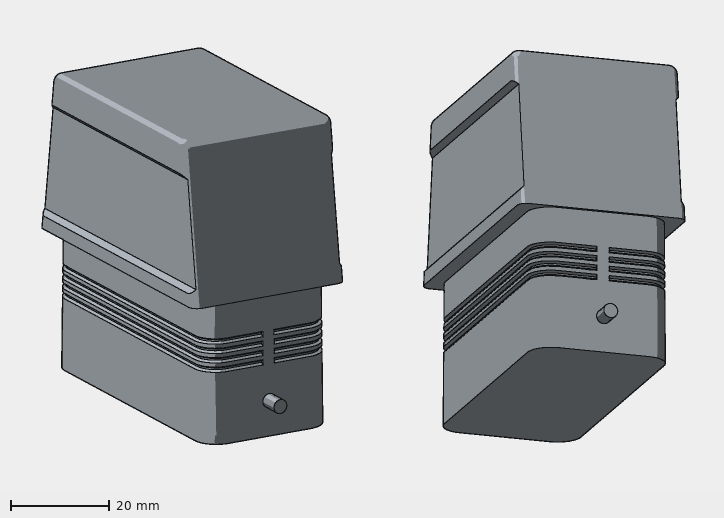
import cadquery as cq

total_length = 71.5
total_height = 64.5
hood_depth = 36.0

hood_bottom_z = 30.0
hood_bottom_length = 62.9
hood_top_length = 52.8
hood_edge_radius = 2.0

recess_depth = 1.1
recess_bottom_z = 33.95
recess_top_z = 56.55

body_depth = 29.3
body_base_length = 62.7
body_top_length = 61.5
body_corner_radius = 5.0
base_band_height = 1.85

groove_count = 4
groove_pitch = 2.0
lowest_groove_z = 15.95
groove_opening = 1.15
groove_root = 0.35
groove_depth = 0.65
groove_gap = 2.65
cutter_margin = 1.4

pin_diameter = 3.0
pin_z = 7.6


def rounded_outline(z, length, depth):
    """Body outline, a rounded rectangle in the horizontal plane at height z."""
    sketch = cq.Sketch().rect(length, depth).vertices().fillet(body_corner_radius)
    return sketch.moved(cq.Location(cq.Vector(0, 0, z)))


def body_length_at(z):
    """Length of the tapered body walls at height z."""
    fraction = (z - base_band_height) / (hood_bottom_z - base_band_height)
    return body_base_length + fraction * (body_top_length - body_base_length)


def make_hood():
    half_bottom = hood_bottom_length / 2
    half_top = hood_top_length / 2
    end_profile = [
        (-half_bottom, hood_bottom_z),
        (half_bottom, hood_bottom_z),
        (half_top, total_height),
        (-half_top, total_height),
    ]
    hood = cq.Workplane("XZ").polyline(end_profile).close().extrude(hood_depth / 2, both=True)
    return hood.edges("not <Z").fillet(hood_edge_radius)


def make_recess(side):
    """Cutter for the recess on one face; side is -1 for front, 1 for back."""
    floor_y = side * (hood_depth / 2 - recess_depth)
    outside_reach = recess_depth + cutter_margin
    outside_y = floor_y + side * outside_reach
    section = [
        (floor_y, recess_bottom_z),
        (floor_y, recess_top_z),
        (outside_y, recess_top_z + outside_reach),
        (outside_y, recess_bottom_z - outside_reach),
    ]
    return cq.Workplane("YZ").polyline(section).close().extrude(hood_bottom_length / 2, both=True)


def make_body():
    bottom = rounded_outline(0, body_base_length, body_depth)
    taper_start = rounded_outline(base_band_height, body_base_length, body_depth)
    taper_end = rounded_outline(hood_bottom_z, body_top_length, body_depth)
    return cq.Workplane("XY").placeSketch(bottom, taper_start, taper_end).loft(ruled=True)


def make_groove(center_z):
    """Cutter for one flat-bottomed V groove, interrupted at the middle of each end face."""
    wall_y = -body_depth / 2
    root_y = wall_y + groove_depth
    outside_y = wall_y - cutter_margin
    profile = [
        (outside_y, -groove_opening / 2),
        (wall_y, -groove_opening / 2),
        (root_y, -groove_root / 2),
        (root_y, groove_root / 2),
        (wall_y, groove_opening / 2),
        (outside_y, groove_opening / 2),
    ]
    path = rounded_outline(center_z, body_length_at(center_z), body_depth).wires().val()
    ring = cq.Workplane("YZ", origin=(0, 0, center_z)).polyline(profile).close().sweep(path)
    end_rib = cq.Workplane("XY").box(total_length, groove_gap, groove_pitch).translate((0, 0, center_z))
    return ring.cut(end_rib)


hood = make_hood()
for side in (-1, 1):
    hood = hood.cut(make_recess(side))

body = make_body()
for index in range(groove_count):
    body = body.cut(make_groove(lowest_groove_z + index * groove_pitch))

pins = (
    cq.Workplane("YZ")
    .center(0, pin_z)
    .circle(pin_diameter / 2)
    .extrude(total_length / 2, both=True)
)

result = hood.union(body).union(pins)